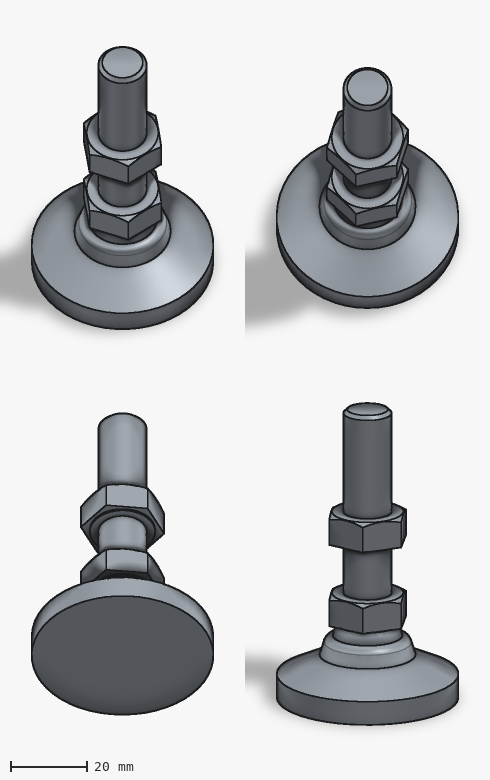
import cadquery as cq
import math

total_height = 79.5

pad_diameter = 47.8
pad_radius = pad_diameter / 2
rim_height = 6.4
collar_base_radius = 12.65
collar_base_z = 11.85
collar_top_radius = 11.5
collar_top_z = 15.35
lip_z = 17.1

stud_radius = 6.35
stud_chamfer = 1.0
neck_radius = 8.0

hex_across_flats = 19.1
hex_height = 7.9
hex_sides = 6
hex_half_angle = 180 / hex_sides
face_height = 0.5
face_radius = 8.6
bevel_circle_radius = 9.4
bevel_angle = math.radians(30)
stud_hex_z = 20.5
lock_nut_z = 42.9

draft_angle = math.atan2(collar_base_radius - collar_top_radius, collar_top_z - collar_base_z)
round_radius = (lip_z - collar_top_z) / (1 - math.sin(draft_angle))
lip_radius = collar_top_radius - round_radius * math.cos(draft_angle)
round_center_z = lip_z - round_radius
round_mid_angle = (draft_angle + math.pi / 2) / 2
round_mid = (
    lip_radius + round_radius * math.cos(round_mid_angle),
    round_center_z + round_radius * math.sin(round_mid_angle),
)

ball_center_z = (
    (stud_hex_z**2 + neck_radius**2 - lip_z**2 - lip_radius**2) / (2 * (stud_hex_z - lip_z))
)
ball_radius = math.hypot(lip_radius, lip_z - ball_center_z)


def make_ball():
    """Ball of the stud, cut flat where it meets the hexagon; it also shapes the socket."""
    ball = cq.Workplane("XY").sphere(ball_radius).translate((0, 0, ball_center_z))
    trim = cq.Workplane("XY").circle(ball_radius).extrude(stud_hex_z)
    return ball.intersect(trim)


def make_hexagon(bottom_z):
    """Hexagon with a round bearing face below and a conical bevel on its top corners."""
    corner_radius = hex_across_flats / 2 / math.cos(math.radians(hex_half_angle))
    bevel_drop = (corner_radius - bevel_circle_radius) * math.tan(bevel_angle)
    prism = (
        cq.Workplane("XY")
        .polygon(hex_sides, 2 * corner_radius)
        .extrude(hex_height)
        .rotate((0, 0, 0), (0, 0, 1), hex_half_angle)
    )
    bevel_envelope = (
        cq.Workplane("XZ")
        .moveTo(0, 0)
        .lineTo(corner_radius, 0)
        .lineTo(corner_radius, hex_height - bevel_drop)
        .lineTo(bevel_circle_radius, hex_height)
        .lineTo(0, hex_height)
        .close()
        .revolve()
    )
    bearing_face = cq.Workplane("XY").circle(face_radius).extrude(-face_height)
    hexagon = prism.intersect(bevel_envelope).union(bearing_face)
    return hexagon.translate((0, 0, bottom_z + face_height))


def make_pad():
    """Conical foot pad with a rounded collar and a spherical socket."""
    body = (
        cq.Workplane("XZ")
        .moveTo(0, 0)
        .lineTo(pad_radius, 0)
        .lineTo(pad_radius, rim_height)
        .lineTo(collar_base_radius, collar_base_z)
        .lineTo(collar_top_radius, collar_top_z)
        .threePointArc(round_mid, (lip_radius, lip_z))
        .lineTo(0, lip_z)
        .close()
        .revolve()
    )
    return body.cut(make_ball())


def make_stud():
    """Chamfered rod with an integral hexagon and a ball at its lower end."""
    rod = (
        cq.Workplane("XY")
        .workplane(offset=stud_hex_z)
        .circle(stud_radius)
        .extrude(total_height - stud_hex_z)
        .faces(">Z")
        .chamfer(stud_chamfer)
    )
    return make_hexagon(stud_hex_z).union(rod).union(make_ball())


def make_lock_nut():
    """Hexagon nut bored to fit the rod."""
    bore = cq.Workplane("XY").circle(stud_radius).extrude(total_height)
    return make_hexagon(lock_nut_z).cut(bore)


pad = make_pad()
stud = make_stud()
lock_nut = make_lock_nut()

result = cq.Compound.makeCompound([body.solids().val() for body in (pad, stud, lock_nut)])